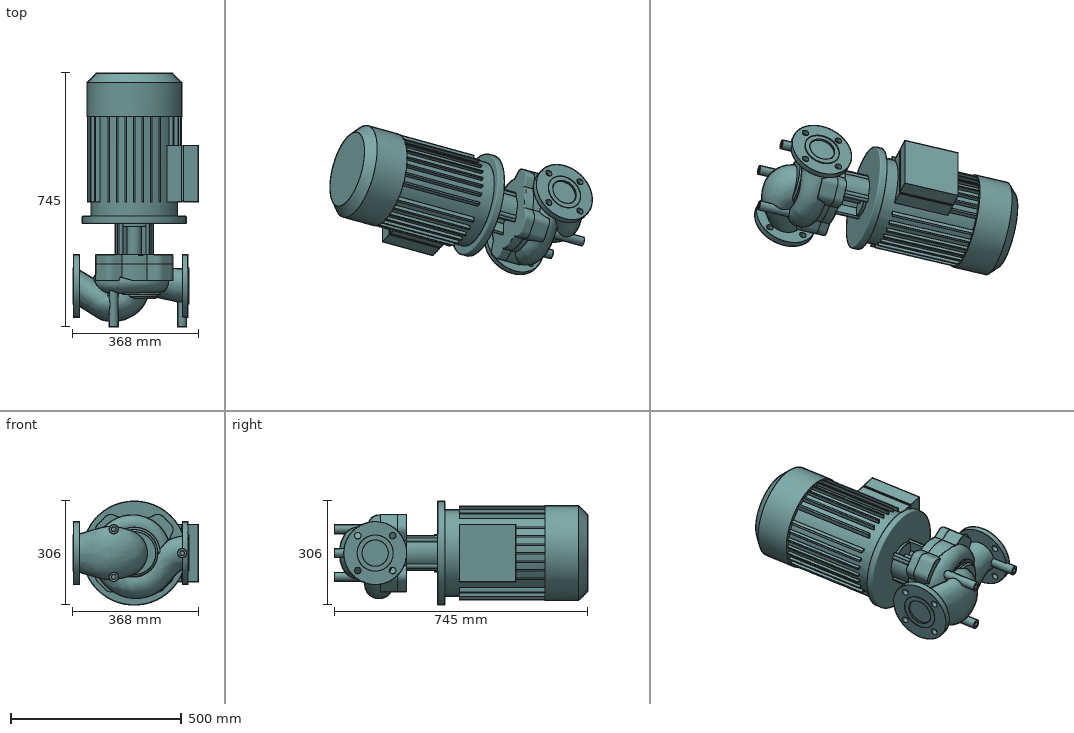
import cadquery as cq
import math


FEET_END = -120.0
CASING_FRONT = 15.5
COVER_FRONT = 65.0
COVER_BACK = 92.5
FLANGE_FRONT = 183.0
FLANGE_BACK = 205.0
FIN_START = 247.0
FAN_COVER_START = 498.0
MOTOR_END = 625.0

MOTOR_FLANGE_RADIUS = 153.0
MOTOR_FLANGE_FILLET = 3.0
CORE_RADIUS = 127.5
FIN_TIP_RADIUS = 138.0
FIN_THICKNESS = 4.5
FIN_PITCH = 25.0
FINS_EACH_SIDE = 3
FAN_COVER_RADIUS = 139.5
FAN_COVER_CHAMFER = 27.5

BOX_END = 413.0
BOX_WIDTH = 169.0
BOX_BASE_INNER = 90.0
GASKET_INNER = 139.0
LID_INNER = 144.0
LID_OUTER = 188.0
GASKET_INSET = 1.5

LANTERN_RADIUS = 56.5
WINDOW_WIDTH = 67.6
WINDOW_FLOOR_WIDTH = 41.0
WINDOW_FLOOR_HEIGHT = 2.5
WINDOW_BEVEL = (WINDOW_WIDTH - WINDOW_FLOOR_WIDTH) / 2
RIDGES = ((39.0, 45.5, 5.5), (42.0, 38.3, 7.0))
SPIGOT_RADIUS = 55.0
SPIGOT_LENGTH = 8.5
SHAFT_RADIUS = 21.0

DISC_RADIUS = 107.5
LOBE_REACH = 135.5
LOBE_TIP_WIDTH = 63.0
LOBE_SIDE_SLOPE = 20.0
LOBE_FILLET = 21.0
COVER_EDGE_FILLET = 3.0

VOLUTE_STATION = 11.0
VOLUTE_START_ANGLE = -30.0
VOLUTE_END_ANGLE = 270.0
VOLUTE_SECTIONS = 11
VOLUTE_START_REACH = 105.0
VOLUTE_END_REACH = 134.0
VOLUTE_START_RADIUS = 28.0
VOLUTE_END_RADIUS = 42.0
VOLUTE_GROWTH_EXPONENT = 1.5
TRIM_LEVEL_END = -2.0
TRIM_RISE_END = (-50.0, 29.0)
TRIM_SIZE = 150.0

NECK_BASE_RADIUS = 76.0
NECK_BASE_FRONT = -25.0
NECK_STEP_RADIUS = 69.0
NECK_STEP_FRONT = -31.0
NECK_FACE_RADIUS = 63.0
NECK_FRONT = -36.0

INLET_FACE = -180.0
OUTLET_FACE = 160.0
PORT_FLANGE_RADIUS = 92.5
INLET_FLANGE_THICKNESS = 18.5
OUTLET_FLANGE_THICKNESS = 16.5
INLET_RAISED_HEIGHT = 1.0
OUTLET_RAISED_HEIGHT = 2.5
RAISED_FACE_RADIUS = 53.0
BORE_RADIUS = 38.5
BORE_DEPTH = 6.0
BOLT_CIRCLE_RADIUS = 72.5
BOLT_HOLE_RADIUS = 9.5
BOLT_COUNT = 4

ELBOW_INLET_HALF_HEIGHT = 53.0
ELBOW_INLET_HALF_WIDTH = 54.0
ELBOW_CENTRE = (-60.0, -2.0)
ELBOW_OUTER_RADIUS = 103.0
ELBOW_BEND = ((-35.0, 46.0, 76.0), (0.0, 51.0, 77.5), (45.0, 56.0, 71.0), (90.0, 60.0, 62.0))

OUTLET_END = 150.0
OUTLET_RADIUS = 51.0
OUTLET_START_HANDLE = 85.0
OUTLET_END_HANDLE = 75.0
OUTLET_SECTIONS = 8

FOOT_RADIUS = 13.4
FOOT_BORE_RADIUS = 7.0
FOOT_BORE_DEPTH = 25.0
FOOT_BACK = 8.0
FOOT_PLACES = ((-60.5, 70.0), (-60.5, -70.0), (140.5, 0.0))


def rod_y(radius, start, end, x=0.0, z=0.0):
    """Cylinder along Y from station start to station end."""
    return cq.Workplane(cq.Solid.makeCylinder(radius, end - start, cq.Vector(x, start, z), cq.Vector(0, 1, 0)))


def rod_x(radius, start, end, y=0.0, z=0.0):
    """Cylinder along X from start to end."""
    return cq.Workplane(cq.Solid.makeCylinder(radius, end - start, cq.Vector(start, y, z), cq.Vector(1, 0, 0)))


def block(x_range, y_range, z_range):
    """Box between pairs of coordinates."""
    sizes = [high - low for low, high in (x_range, y_range, z_range)]
    corner = (x_range[0], y_range[0], z_range[0])
    return cq.Workplane("XY").box(*sizes, centered=False).translate(corner)


def lobed_plate(start, end):
    """Disc with four rounded diagonal lobes."""
    plate = rod_y(DISC_RADIUS, start, end)
    tip = LOBE_TIP_WIDTH / 2
    root = tip + LOBE_REACH * math.tan(math.radians(LOBE_SIDE_SLOPE))
    outline = [(0, -root), (LOBE_REACH, -tip), (LOBE_REACH, tip), (0, root)]
    lobe = cq.Workplane("XZ", origin=(0, start, 0)).polyline(outline).close().extrude(start - end)
    lobe = lobe.edges("|Y and >X").fillet(LOBE_FILLET)
    for angle in (45, 135, 225, 315):
        plate = plate.union(lobe.rotate((0, 0, 0), (0, 1, 0), angle))
    return plate


def make_terminal_box():
    """Base, gasket and lid of the terminal box; the base sits on the motor core."""
    side = (-BOX_WIDTH / 2, BOX_WIDTH / 2)
    length = (FIN_START, BOX_END)
    base = block((BOX_BASE_INNER, GASKET_INNER), length, side)
    base = base.cut(rod_y(CORE_RADIUS, FLANGE_BACK, FAN_COVER_START))
    gasket = block(
        (GASKET_INNER, LID_INNER),
        (FIN_START + GASKET_INSET, BOX_END - GASKET_INSET),
        (side[0] + GASKET_INSET, side[1] - GASKET_INSET),
    )
    lid = block((LID_INNER, LID_OUTER), length, side)
    return base, gasket, lid


def make_motor(box_base):
    """Round core with parallel cooling fins on four sides, cleared for the terminal box."""
    fins = None
    for index in range(-FINS_EACH_SIDE, FINS_EACH_SIDE + 1):
        middle = index * FIN_PITCH
        fin = block(
            (middle - FIN_THICKNESS / 2, middle + FIN_THICKNESS / 2),
            (FIN_START, FAN_COVER_START),
            (-FIN_TIP_RADIUS, FIN_TIP_RADIUS),
        )
        fins = fin if fins is None else fins.union(fin)
    fins = fins.union(fins.rotate((0, 0, 0), (0, 1, 0), 90))
    fins = fins.intersect(rod_y(FIN_TIP_RADIUS, FIN_START, FAN_COVER_START))
    return rod_y(CORE_RADIUS, FLANGE_BACK, FAN_COVER_START).union(fins).cut(box_base)


def make_fan_cover():
    return rod_y(FAN_COVER_RADIUS, FAN_COVER_START, MOTOR_END).faces(">Y").chamfer(FAN_COVER_CHAMFER)


def make_motor_flange():
    return rod_y(MOTOR_FLANGE_RADIUS, FLANGE_FRONT, FLANGE_BACK).edges().fillet(MOTOR_FLANGE_FILLET)


def make_lantern():
    """Round body with ridged corners and two windows with bevelled floors that open onto the shaft."""
    lantern = rod_y(LANTERN_RADIUS, COVER_BACK, FLANGE_FRONT)
    for x, z, radius in RIDGES:
        for side_x in (-1, 1):
            for side_z in (-1, 1):
                lantern = lantern.union(rod_y(radius, COVER_BACK, FLANGE_FRONT, side_x * x, side_z * z))
    outline = [
        (-WINDOW_FLOOR_WIDTH / 2, WINDOW_FLOOR_HEIGHT),
        (WINDOW_FLOOR_WIDTH / 2, WINDOW_FLOOR_HEIGHT),
        (WINDOW_WIDTH / 2, WINDOW_FLOOR_HEIGHT + WINDOW_BEVEL),
        (WINDOW_WIDTH / 2, LANTERN_RADIUS),
        (-WINDOW_WIDTH / 2, LANTERN_RADIUS),
        (-WINDOW_WIDTH / 2, WINDOW_FLOOR_HEIGHT + WINDOW_BEVEL),
    ]
    window = cq.Workplane("XZ", origin=(0, COVER_BACK, 0)).polyline(outline).close()
    window = window.extrude(COVER_BACK - FLANGE_FRONT)
    lantern = lantern.cut(window).cut(window.mirror("XY"))
    lantern = lantern.union(rod_y(SPIGOT_RADIUS, FLANGE_FRONT - SPIGOT_LENGTH, FLANGE_FRONT))
    return lantern.cut(rod_y(SHAFT_RADIUS, COVER_BACK, FLANGE_FRONT))


def make_shaft():
    return rod_y(SHAFT_RADIUS, COVER_BACK, FLANGE_FRONT)


def make_cover():
    return lobed_plate(COVER_FRONT, COVER_BACK).faces(">Y").edges().fillet(COVER_EDGE_FILLET)


def circle_section(centre, radius, normal):
    """Circle across a heading in the XZ plane, with its seam on the +Y side."""
    return cq.Wire.makeEllipse(
        radius, radius, cq.Vector(*centre), cq.Vector(*normal), cq.Vector(0, 1, 0)
    )


def make_volute():
    """Spiral with sections that grow from the tongue to the outlet branch."""
    sections = []
    for index in range(VOLUTE_SECTIONS):
        share = index / (VOLUTE_SECTIONS - 1)
        angle = math.radians(VOLUTE_START_ANGLE + share * (VOLUTE_END_ANGLE - VOLUTE_START_ANGLE))
        growth = share**VOLUTE_GROWTH_EXPONENT
        radius = VOLUTE_START_RADIUS + growth * (VOLUTE_END_RADIUS - VOLUTE_START_RADIUS)
        reach = VOLUTE_START_REACH + growth * (VOLUTE_END_REACH - VOLUTE_START_REACH)
        ring = reach - radius
        centre = (ring * math.cos(angle), VOLUTE_STATION, ring * math.sin(angle))
        sections.append(circle_section(centre, radius, (-math.sin(angle), 0, math.cos(angle))))
    outline = [
        (TRIM_LEVEL_END, CASING_FRONT),
        (TRIM_SIZE, CASING_FRONT),
        (TRIM_SIZE, COVER_FRONT),
        (TRIM_RISE_END[0], COVER_FRONT),
        TRIM_RISE_END,
    ]
    trim = cq.Workplane("XY").polyline(outline).close().extrude(TRIM_SIZE)
    return cq.Workplane(cq.Solid.makeLoft(sections)).cut(trim)


def bezier(controls, share):
    """One coordinate of a cubic Bezier curve."""
    a, b, c, d = controls
    rest = 1 - share
    return a * rest**3 + 3 * b * rest**2 * share + 3 * c * rest * share**2 + d * share**3


def bezier_slope(controls, share):
    """Rate of change of that coordinate, up to a constant factor."""
    a, b, c, d = controls
    rest = 1 - share
    return (b - a) * rest**2 + 2 * (c - b) * rest * share + (d - c) * share**2


def make_outlet_branch():
    """S-shaped pipe from the end of the spiral to the outlet flange."""
    start_z = VOLUTE_END_RADIUS - VOLUTE_END_REACH
    curve_x = (0, OUTLET_START_HANDLE, OUTLET_END - OUTLET_END_HANDLE, OUTLET_END)
    curve_z = (start_z, start_z, 0, 0)
    sections = []
    for index in range(OUTLET_SECTIONS):
        share = index / (OUTLET_SECTIONS - 1)
        radius = VOLUTE_END_RADIUS + share**2 * (OUTLET_RADIUS - VOLUTE_END_RADIUS)
        centre = (bezier(curve_x, share), VOLUTE_STATION * (1 - share**2), bezier(curve_z, share))
        heading = (bezier_slope(curve_x, share), 0, bezier_slope(curve_z, share))
        sections.append(circle_section(centre, radius, heading))
    return cq.Workplane(cq.Solid.makeLoft(sections))


def elbow_section(x, y, heading, half_height, half_width):
    """Ellipse across a heading in the XY plane, with its width along Z."""
    angle = math.radians(heading)
    return cq.Wire.makeEllipse(
        half_width,
        half_height,
        cq.Vector(x, y, 0),
        cq.Vector(math.cos(angle), math.sin(angle), 0),
        cq.Vector(0, 0, 1),
    )


def make_elbow():
    """Suction elbow: a widening straight run from the inlet, then a bend into the neck."""
    inlet_end = INLET_FACE + INLET_FLANGE_THICKNESS / 2
    inlet = elbow_section(inlet_end, 0, 0, ELBOW_INLET_HALF_HEIGHT, ELBOW_INLET_HALF_WIDTH)
    bend = []
    for heading, half_height, half_width in ELBOW_BEND:
        angle = math.radians(heading)
        reach = ELBOW_OUTER_RADIUS - half_height
        x = ELBOW_CENTRE[0] + reach * math.sin(angle)
        y = ELBOW_CENTRE[1] - reach * math.cos(angle)
        bend.append(elbow_section(x, y, heading, half_height, half_width))
    straight_run = cq.Workplane(cq.Solid.makeLoft([inlet, bend[0]], True))
    return straight_run.union(cq.Workplane(cq.Solid.makeLoft(bend)))


def make_neck():
    """Solid middle of the casing with its stepped, bevelled suction face."""
    profile = [
        (0, CASING_FRONT),
        (NECK_BASE_RADIUS, CASING_FRONT),
        (NECK_BASE_RADIUS, NECK_BASE_FRONT),
        (NECK_STEP_RADIUS, NECK_BASE_FRONT),
        (NECK_STEP_RADIUS, NECK_STEP_FRONT),
        (NECK_FACE_RADIUS, NECK_FRONT),
        (0, NECK_FRONT),
    ]
    return cq.Workplane("XY").polyline(profile).close().revolve(360, (0, 0, 0), (0, 1, 0))


def make_port_flange(face, inward, thickness, raised_height):
    """Flange disc with a raised face; inward is +1 or -1, the X direction into the pump."""
    disc_face = face + inward * raised_height
    back = face + inward * (raised_height + thickness)
    disc = rod_x(PORT_FLANGE_RADIUS, min(disc_face, back), max(disc_face, back))
    return disc.union(rod_x(RAISED_FACE_RADIUS, min(face, back), max(face, back)))


def cut_port_holes(casing, face, inward, depth):
    """Shallow bore and bolt holes of one port."""
    floor = face + inward * BORE_DEPTH
    casing = casing.cut(rod_x(BORE_RADIUS, min(face, floor), max(face, floor)))
    back = face + inward * depth
    for index in range(BOLT_COUNT):
        angle = math.radians(45 + index * 360 / BOLT_COUNT)
        y = BOLT_CIRCLE_RADIUS * math.cos(angle)
        z = BOLT_CIRCLE_RADIUS * math.sin(angle)
        casing = casing.cut(rod_x(BOLT_HOLE_RADIUS, min(face, back), max(face, back), y, z))
    return casing


def make_casing():
    """Volute casing in one piece with its ports and feet."""
    inlet_flange = make_port_flange(INLET_FACE, 1, INLET_FLANGE_THICKNESS, INLET_RAISED_HEIGHT)
    outlet_flange = make_port_flange(OUTLET_FACE, -1, OUTLET_FLANGE_THICKNESS, OUTLET_RAISED_HEIGHT)
    casing = lobed_plate(CASING_FRONT, COVER_FRONT)
    for piece in (
        make_neck(),
        make_volute(),
        make_outlet_branch(),
        make_elbow(),
        inlet_flange,
        outlet_flange,
    ):
        casing = casing.union(piece)
    for x, z in FOOT_PLACES:
        casing = casing.union(rod_y(FOOT_RADIUS, FEET_END, FOOT_BACK, x, z))
        casing = casing.cut(rod_y(FOOT_BORE_RADIUS, FEET_END, FEET_END + FOOT_BORE_DEPTH, x, z))
    casing = cut_port_holes(casing, INLET_FACE, 1, INLET_FLANGE_THICKNESS + INLET_RAISED_HEIGHT)
    return cut_port_holes(casing, OUTLET_FACE, -1, OUTLET_FLANGE_THICKNESS + OUTLET_RAISED_HEIGHT)


box_base, box_gasket, box_lid = make_terminal_box()
motor = make_motor(box_base)
fan_cover = make_fan_cover()
motor_flange = make_motor_flange()
lantern = make_lantern()
shaft = make_shaft()
cover = make_cover()
casing = make_casing()

bodies = (
    motor, fan_cover, motor_flange, box_base, box_gasket, box_lid, lantern, shaft, cover, casing,
)
result = cq.Compound.makeCompound([body.val() for body in bodies])